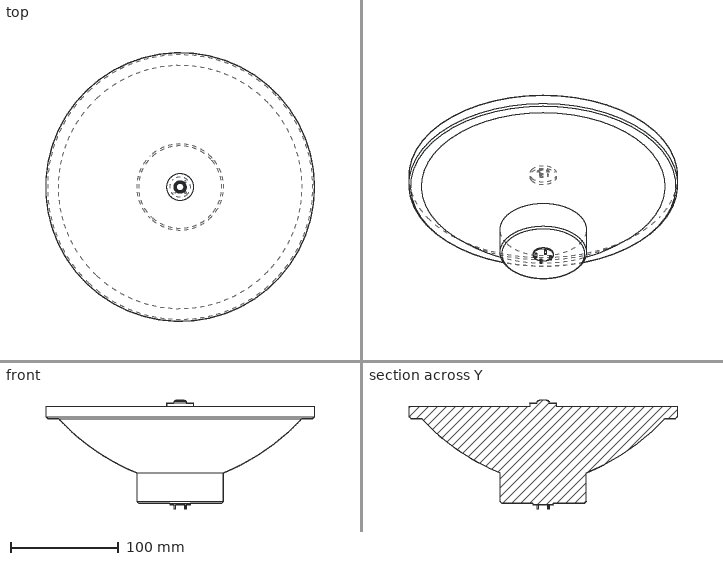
import cadquery as cq

rim_radius = 125.0
rim_height = 11.5
edge_chamfer = 1.8

bell_top_radius = 113.3
bell_mid_radius = 86.8
bell_mid_depth = 35.5

housing_radius = 40.3
housing_top_depth = 62.0
housing_height = 28.3
housing_bottom_depth = housing_top_depth + housing_height

disc_radius = 12.5
disc_height = 3.0
cap_radius = 5.8
cap_height = 2.3
cap_chamfer = 0.8
boss_radius = 4.0
boss_height = 0.8
boss_chamfer = 0.5

plate_radius = 9.5
plate_height = 1.3
pin_diameter = 1.8
pin_length = 4.0
pin_spacing = 10.0


def cylinder(radius, bottom, height):
    """Solid cylinder on the Z axis, standing on the given Z level."""
    return cq.Workplane("XY").workplane(offset=bottom).circle(radius).extrude(height)


def make_body():
    """Rim, curved bell and magnet housing, revolved from one half profile."""
    return (
        cq.Workplane("XZ")
        .moveTo(0, 0)
        .lineTo(rim_radius, 0)
        .lineTo(rim_radius, edge_chamfer - rim_height)
        .lineTo(rim_radius - edge_chamfer, -rim_height)
        .lineTo(bell_top_radius, -rim_height)
        .threePointArc((bell_mid_radius, -bell_mid_depth), (housing_radius, -housing_top_depth))
        .lineTo(housing_radius, edge_chamfer - housing_bottom_depth)
        .lineTo(housing_radius - edge_chamfer, -housing_bottom_depth)
        .lineTo(0, -housing_bottom_depth)
        .close()
        .revolve(360, (0, 0, 0), (0, 1, 0))
    )


def chamfered_cylinder(radius, bottom, height, chamfer):
    """Solid cylinder with a chamfer around its top edge."""
    return cylinder(radius, bottom, height).faces(">Z").chamfer(chamfer)


def make_front_cap():
    """Flat disc carrying a chamfered cap, with a smaller chamfered boss on the cap."""
    disc = cylinder(disc_radius, 0, disc_height)
    cap = chamfered_cylinder(cap_radius, disc_height, cap_height, cap_chamfer)
    boss = chamfered_cylinder(boss_radius, disc_height + cap_height, boss_height, boss_chamfer)
    return disc.union(cap).union(boss)


def make_terminals():
    """Round terminal plate with a square pattern of four pins."""
    plate_bottom = -housing_bottom_depth - plate_height
    plate = cylinder(plate_radius, plate_bottom, plate_height)
    pins = (
        cq.Workplane("XY")
        .workplane(offset=plate_bottom)
        .rect(pin_spacing, pin_spacing, forConstruction=True)
        .vertices()
        .circle(pin_diameter / 2)
        .extrude(-pin_length)
    )
    return plate.union(pins)


result = make_body().union(make_front_cap()).union(make_terminals())